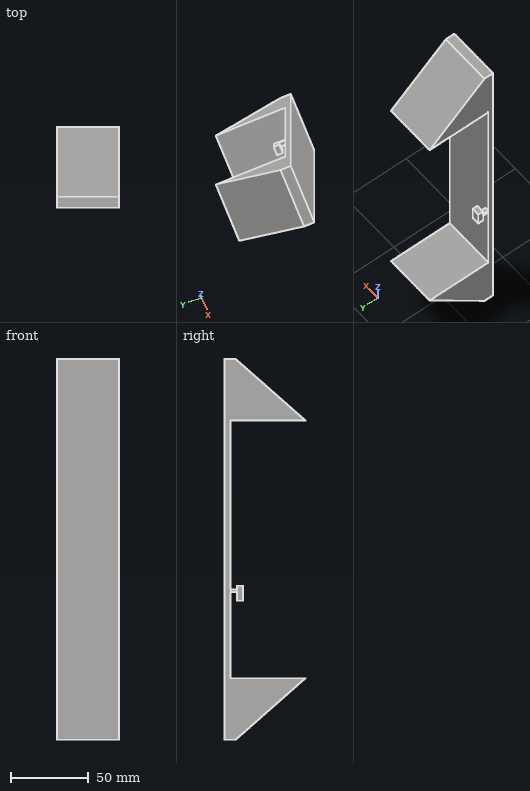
import cadquery as cq

width = 40.0
depth = 52.3
height = 245.6

plate_thickness = 4.0
end_flat = 7.1
wedge_height = 39.8

stem_width = 3.0
stem_length = 4.2
stem_height = 2.0
stem_bottom_z = 95.3
block_width = 6.0
block_thickness = 4.0
block_height = 9.8
block_side_gap = 0.2
block_bottom_z = 89.7


def make_body():
    """Extrude the plate and wedge outline across the width."""
    outline = [
        (0, 0),
        (end_flat, 0),
        (depth, wedge_height),
        (plate_thickness, wedge_height),
        (plate_thickness, height - wedge_height),
        (depth, height - wedge_height),
        (end_flat, height),
        (0, height),
    ]
    return cq.Workplane("YZ").polyline(outline).close().extrude(width)


def make_box(size, corner):
    """Make a box of the given size with its lowest corner at the given point."""
    return cq.Workplane("XY").box(*size, centered=False).translate(corner)


def make_latch():
    """Build the block and its stem on the plate."""
    stem = make_box(
        (stem_width, stem_length, stem_height),
        (0, plate_thickness, stem_bottom_z),
    )
    block = make_box(
        (block_width, block_thickness, block_height),
        (block_side_gap, plate_thickness + stem_length, block_bottom_z),
    )
    return stem.union(block)


result = make_body().union(make_latch())